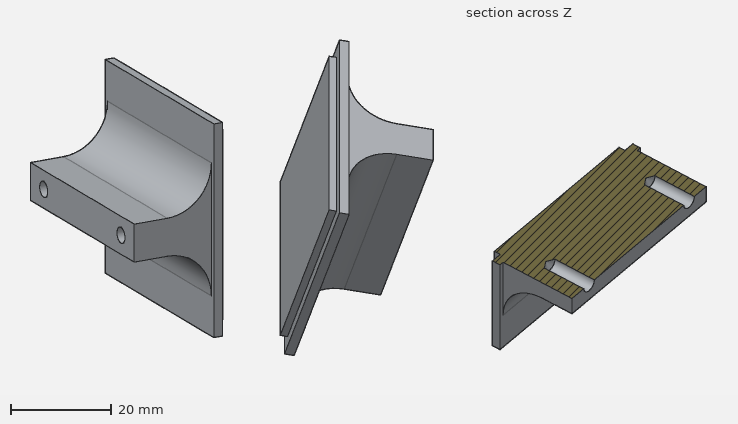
import cadquery as cq
import math

plate_side = 45.0
plate_thickness = 2.0

pad_side = 40.0
pad_thickness = 1.5

handle_length = 43.0
handle_height = 8.0
handle_reach = 17.5
flare_radius = 10.0

hole_diameter = 3.3
hole_spacing = 32.0
hole_depth = 10.0
drill_point_angle = 118.0


def square_slab(side, thickness, front_y):
    """Square slab centred on the Y axis, growing toward +Y from front_y."""
    return cq.Workplane("XY").box(side, thickness, side).translate((0, front_y + thickness / 2, 0))


def handle():
    """Handle profile in the YZ plane, extruded symmetrically along X."""
    half_height = handle_height / 2
    root_half_height = half_height + flare_radius
    arc_offset = flare_radius * (1 - math.sqrt(0.5))
    return (
        cq.Workplane("YZ")
        .moveTo(0, -root_half_height)
        .threePointArc((-arc_offset, -half_height - arc_offset), (-flare_radius, -half_height))
        .lineTo(-handle_reach, -half_height)
        .lineTo(-handle_reach, half_height)
        .lineTo(-flare_radius, half_height)
        .threePointArc((-arc_offset, half_height + arc_offset), (0, root_half_height))
        .close()
        .extrude(handle_length / 2, both=True)
    )


def drilled_hole(x):
    """Cutter for one blind hole along +Y, ending in a conical drill point."""
    radius = hole_diameter / 2
    point_length = radius / math.tan(math.radians(drill_point_angle / 2))
    return (
        cq.Workplane("XY")
        .polyline([(0, 0), (radius, 0), (radius, hole_depth), (0, hole_depth + point_length)])
        .close()
        .revolve(360, (0, 0, 0), (0, 1, 0))
        .translate((x, -handle_reach, 0))
    )


plate = square_slab(plate_side, plate_thickness, 0)
pad = square_slab(pad_side, pad_thickness, plate_thickness)

result = plate.union(pad).union(handle())
for side in (-1, 1):
    result = result.cut(drilled_hole(side * hole_spacing / 2))